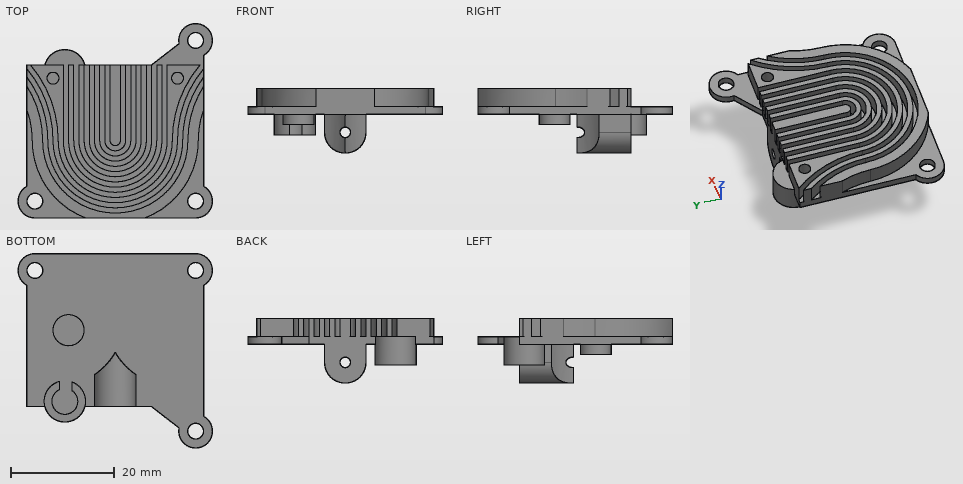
import cadquery as cq
import math

plate_half_width = 17.05
plate_front = -18.75
plate_back = 10.75
plate_thickness = 1.5

lug_offset = 15.5
lug_radius = -plate_front - lug_offset
lug_hole_diameter = 3.0
web_start_x = 6.98
web_end = (12.25, 14.85)

fin_height = 3.5
fin_pitch = 3 / 3
fin_centre_y = -3.8
straight_groove_count = 5
flared_groove_steps = (11, 13)
block_edge_step = 16
flare_centre_x = 33.5
flare_angle = math.radians(45)
screw_hole_diameter = 2.3
screw_hole_x = 12.0
screw_hole_y = 8.2

cup_x = -9.7
cup_y = 9.75
cup_diameter = 8.0
cup_bore_diameter = 5.0
cup_depth = 4.0
cup_slot_x = -9.55
cup_slot_width = 2.4

foot_x = -9.0
foot_y = -3.98
foot_diameter = 6.0
foot_depth = 2.0

keel_radius = 4.0
keel_depth = 7.5
keel_tip_y = 0.3
keel_shoulder_y = 4.6
keel_cheek_radius = 13.12
keel_hole_diameter = 2.0

overrun = 7.5


def straight_profile(radius):
    """U-shaped area: a round front end and parallel sides running out at the back."""
    back = plate_back + overrun
    return (
        cq.Workplane("XY", origin=(0, 0, plate_thickness))
        .moveTo(-radius, back)
        .lineTo(-radius, fin_centre_y)
        .threePointArc((0, fin_centre_y - radius), (radius, fin_centre_y))
        .lineTo(radius, back)
        .close()
        .extrude(fin_height)
    )


def flared_profile(radius):
    """Tulip-shaped area: a round front end whose sides curve outward to the back."""
    back = plate_back + overrun
    flare_radius = flare_centre_x - radius

    def flare_point(angle):
        return (
            flare_centre_x - flare_radius * math.cos(angle),
            fin_centre_y + flare_radius * math.sin(angle),
        )

    mid_x, mid_y = flare_point(flare_angle / 2)
    end_x, end_y = flare_point(flare_angle)
    return (
        cq.Workplane("XY", origin=(0, 0, plate_thickness))
        .moveTo(-end_x, back)
        .lineTo(-end_x, end_y)
        .threePointArc((-mid_x, mid_y), (-radius, fin_centre_y))
        .threePointArc((0, fin_centre_y - radius), (radius, fin_centre_y))
        .threePointArc((mid_x, mid_y), (end_x, end_y))
        .lineTo(end_x, back)
        .close()
        .extrude(fin_height)
    )


def groove(profile, step):
    """Groove one pitch wide whose inner wall is the given number of pitches out."""
    return profile((step + 1) * fin_pitch).cut(profile(step * fin_pitch))


def make_plate():
    lug_points = [(-lug_offset, -lug_offset), (lug_offset, -lug_offset), (lug_offset, lug_offset)]
    plate = (
        cq.Workplane("XY")
        .moveTo(-lug_offset, plate_front)
        .lineTo(lug_offset, plate_front)
        .lineTo(plate_half_width, -lug_offset)
        .lineTo(plate_half_width, lug_offset)
        .lineTo(lug_offset, lug_offset)
        .lineTo(*web_end)
        .lineTo(web_start_x, plate_back)
        .lineTo(-plate_half_width, plate_back)
        .lineTo(-plate_half_width, -lug_offset)
        .close()
        .extrude(plate_thickness)
    )
    lugs = cq.Workplane("XY").pushPoints(lug_points).circle(lug_radius).extrude(plate_thickness)
    holes = (
        cq.Workplane("XY").pushPoints(lug_points).circle(lug_hole_diameter / 2).extrude(plate_thickness)
    )
    return plate.union(lugs).cut(holes)


def make_fin_block():
    footprint = (
        cq.Workplane("XY", origin=(0, 0, plate_thickness))
        .moveTo(-plate_half_width, plate_front)
        .lineTo(plate_half_width, plate_front)
        .lineTo(plate_half_width, plate_back)
        .lineTo(-plate_half_width, plate_back)
        .close()
        .extrude(fin_height)
    )
    block = footprint.intersect(flared_profile(block_edge_step * fin_pitch))
    for index in range(straight_groove_count):
        block = block.cut(groove(straight_profile, 2 * index + 1))
    for step in flared_groove_steps:
        block = block.cut(groove(flared_profile, step))
    screw_holes = (
        cq.Workplane("XY", origin=(0, 0, plate_thickness))
        .pushPoints([(-screw_hole_x, screw_hole_y), (screw_hole_x, screw_hole_y)])
        .circle(screw_hole_diameter / 2)
        .extrude(fin_height)
    )
    return block.cut(screw_holes)


def make_cup():
    """Cup open at the bottom, with a slot through the front of its wall."""
    outer = (
        cq.Workplane("XY", origin=(cup_x, cup_y, -cup_depth))
        .circle(cup_diameter / 2)
        .extrude(cup_depth + plate_thickness)
    )
    bore = (
        cq.Workplane("XY", origin=(cup_x, cup_y, -cup_depth))
        .circle(cup_bore_diameter / 2)
        .extrude(cup_depth)
    )
    slot = (
        cq.Workplane("XY", origin=(cup_slot_x, cup_y - cup_diameter / 2, -cup_depth))
        .rect(cup_slot_width, cup_diameter)
        .extrude(cup_depth)
    )
    return outer.cut(bore).cut(slot)


def make_foot():
    return cq.Workplane("XY", origin=(foot_x, foot_y, 0)).circle(foot_diameter / 2).extrude(-foot_depth)


def make_keel():
    """Round-bottomed bar along Y, its front end pointed by two hollow cheeks."""
    bar_axis_z = keel_radius - keel_depth
    bar = (
        cq.Workplane("XZ", origin=(0, plate_back, 0))
        .moveTo(-keel_radius, 0)
        .lineTo(-keel_radius, bar_axis_z)
        .threePointArc((0, -keel_depth), (keel_radius, bar_axis_z))
        .lineTo(keel_radius, 0)
        .close()
        .extrude(plate_back - keel_tip_y)
    )
    pointed_outline = (
        cq.Workplane("XY")
        .moveTo(-keel_radius, plate_back)
        .lineTo(-keel_radius, keel_shoulder_y)
        .radiusArc((0, keel_tip_y), keel_cheek_radius)
        .radiusArc((keel_radius, keel_shoulder_y), keel_cheek_radius)
        .lineTo(keel_radius, plate_back)
        .close()
        .extrude(-keel_depth)
    )
    hole = (
        cq.Workplane("XZ", origin=(0, plate_back, bar_axis_z))
        .circle(keel_hole_diameter / 2)
        .extrude(plate_back - keel_tip_y)
    )
    return bar.intersect(pointed_outline).cut(hole)


result = make_plate().union(make_fin_block()).union(make_cup()).union(make_foot()).union(make_keel())